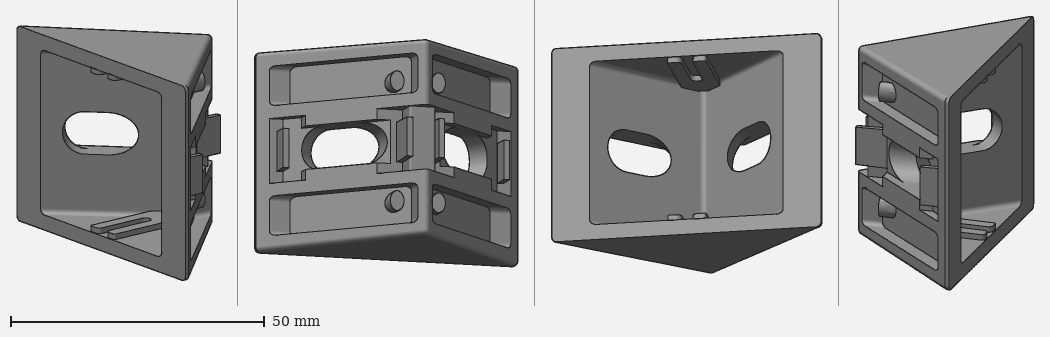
import cadquery as cq
import math

length = 54.0
height = 27.45
width = 40.0
draft = 0.9
edge_radius = 1.0
root_two = math.sqrt(2)
apex = height + edge_radius * (root_two - 1)
lip = apex - length / 2

wall = 6.0
cavity_apex = apex - wall * root_two
cavity_half_width = 16.9

rib_thickness = 1.15
rib_width = 7.7
rib_half_width = rib_width / 2
rib_front = 0.25
rib_back = 18.35
rib_slot_radius = 1.15
rib_slot_end = 12.15
rib_corner_radius = 0.5

pocket_depth = 3.0
pocket_inner_x = 1.5
pocket_z_low = 9.0
pocket_z_high = 16.95
ledge = 2.95

peg_radius = 2.0
peg_x = 4.25
peg_z = 12.0
peg_top = 21.55

channel_depth = 2.0
channel_width = 8.7
channel_half_width = channel_width / 2
notch_half_width = 6.5
lower_notch_x = 19.15
upper_notch_floor = 19.9
ridge_top = 24.85
ridge_radius = 0.55

hole_radius = channel_half_width
hole_inner_x = 10.0
hole_outer_x = 13.25

tab_thickness = 1.2
tab_half_width = 4.0
upper_tab_x = rib_half_width
upper_tab_top = 26.85
lower_tab_x = 23.35
lower_tab_top = 7.2
ridge_half_width = upper_tab_x - tab_thickness


def prism(points, z_low, z_high):
    """Extrude an XY outline between two Z levels."""
    return cq.Workplane("XY", origin=(0, 0, z_low)).polyline(points).close().extrude(z_high - z_low)


def block(x_low, x_high, y_low, y_high, half_width):
    """Box centred on Z = 0."""
    return (
        cq.Workplane("XY", origin=(0, 0, -half_width))
        .moveTo(x_low, y_low)
        .lineTo(x_high, y_low)
        .lineTo(x_high, y_high)
        .lineTo(x_low, y_high)
        .close()
        .extrude(2 * half_width)
    )


def drafted_slab(half_width, x_low, x_high, y_low, y_high):
    """Slab whose two Z faces lean inward toward +Y by the draft angle."""
    top_half_width = half_width - (y_high - y_low) * math.tan(math.radians(draft))
    return (
        cq.Workplane("YZ", origin=(x_low, 0, 0))
        .polyline([
            (y_low, -half_width),
            (y_high, -top_half_width),
            (y_high, top_half_width),
            (y_low, half_width),
        ])
        .close()
        .extrude(x_high - x_low)
    )


def wedge(top, half_width):
    """Right-angled triangular prism with drafted ends, apex at Y = top."""
    outline = [(-top, 0), (top, 0), (0, top)]
    return prism(outline, -half_width, half_width).intersect(drafted_slab(half_width, -top, top, 0, top))


def edge_zone(y_low, x_reach, z_reach):
    """Selector for edges whose centres lie at or beyond y_low and within the X and Z reach."""
    return cq.selectors.BoxSelector((-x_reach, y_low, -z_reach), (x_reach, 2 * apex, z_reach))


def shell():
    """Hollow wedge with rounded outer and inner edges, open at the base."""
    off_base = edge_zone(lip / 4, length, width)
    rim_top = cq.selectors.BoxSelector((-length, lip * 0.9, -width / 4), (length, lip * 1.1, width / 4))
    ends = block(-length / 2, length / 2, 0, apex, width / 2)
    body = wedge(apex, width / 2).intersect(ends)
    body = body.edges(off_base - rim_top).fillet(edge_radius)
    cavity = wedge(cavity_apex, cavity_half_width).edges(off_base).fillet(edge_radius)
    return body.cut(cavity)


def ribs():
    """Slotted forks lying on both cavity end faces, with rounded prong tips."""
    fork = block(-rib_half_width, rib_half_width, rib_front, rib_back, width / 2)
    slot_center = rib_slot_end - rib_slot_radius
    slot = block(-rib_slot_radius, rib_slot_radius, 0, slot_center, width / 2)
    slot_end = (
        cq.Workplane("XY", origin=(0, slot_center, -width / 2))
        .circle(rib_slot_radius)
        .extrude(width)
    )
    fork = fork.cut(slot).cut(slot_end)
    slot_mouth = edge_zone(0, rib_half_width / 2, width)
    fork = fork.faces("<Y").edges("|Z").edges(slot_mouth).fillet(edge_radius)
    fork = fork.faces("<X or >X").edges("<Y").fillet(rib_corner_radius)
    outside = drafted_slab(cavity_half_width + rib_thickness, -length, length, 0, apex)
    inside = drafted_slab(cavity_half_width - rib_thickness, -length, length, 0, apex)
    return fork.intersect(outside.cut(inside))


def recess_outline(floor_apex, inner_x):
    """Recess in the +X wall: inner face along Y, 45 degree floor, flat ledge near the base."""
    return [
        (inner_x, floor_apex - inner_x),
        (inner_x, apex),
        (length / 2, apex),
        (length / 2, ledge),
        (floor_apex - ledge, ledge),
    ]


def pocket():
    """Pocket above the channel on the +X wall, with its peg left standing."""
    floor = apex - pocket_depth * root_two
    cutter = prism(recess_outline(floor, pocket_inner_x), pocket_z_low, pocket_z_high)
    cutter = cutter.faces("<X").edges("|Y").fillet(edge_radius)
    cutter = cutter.faces("<Y").edges("|X").fillet(edge_radius)
    peg = (
        cq.Workplane("XZ", origin=(peg_x, 0, peg_z))
        .ellipse(peg_radius / root_two, peg_radius)
        .extrude(-peg_top)
    )
    return cutter.cut(peg)


def channel():
    """Channel along the +X wall and the wider notch at its base end."""
    floor = apex - channel_depth * root_two
    upper_x = floor - upper_notch_floor
    lower_notch = prism(recess_outline(floor, lower_notch_x), -notch_half_width, notch_half_width)
    middle = prism(
        [
            (upper_x, upper_notch_floor),
            (upper_x, apex),
            (lower_notch_x, apex),
            (lower_notch_x, floor - lower_notch_x),
        ],
        -channel_half_width,
        channel_half_width,
    )
    return lower_notch.union(middle)


def bolt_hole():
    """Slot whose apex-side end runs along Y and whose base-side end is square to the +X wall."""
    straight = (
        cq.Workplane("XZ", origin=(hole_inner_x, 0, 0))
        .circle(hole_radius)
        .extrude(-apex)
    )
    inner_y = cavity_apex - hole_outer_x
    reach = 2 * wall
    step = reach / root_two
    square_plane = cq.Plane((hole_outer_x, inner_y, 0), xDir=(0, 0, 1), normal=(1, 1, 0))
    square = cq.Workplane(square_plane).circle(hole_radius).extrude(reach, both=True)
    between = prism(
        [
            (hole_inner_x, 0),
            (hole_outer_x - step, inner_y - step),
            (hole_outer_x + step, inner_y + step),
            (hole_inner_x, apex),
        ],
        -hole_radius,
        hole_radius,
    )
    return straight.union(square).union(between)


def upper_notch():
    """Notch across the apex, leaving a lowered ridge with rounded edges."""
    space = block(-length / 2, length / 2, upper_notch_floor, apex, notch_half_width)
    ridge = block(-ridge_half_width, ridge_half_width, 0, ridge_top, notch_half_width)
    ridge = ridge.faces(">Y").edges("|Z").fillet(ridge_radius)
    return space.cut(ridge)


def tabs():
    """Tabs pointing along +Y on the +X half, one per notch."""
    upper = drafted_slab(
        tab_half_width, ridge_half_width, upper_tab_x, upper_notch_floor, upper_tab_top
    )
    lower = drafted_slab(
        tab_half_width, lower_tab_x - tab_thickness, lower_tab_x, ledge, lower_tab_top
    )
    return upper.union(lower)


def both_walls(feature):
    """Feature together with its mirror image on the -X wall."""
    return feature.union(feature.mirror("YZ"))


pockets = both_walls(pocket())
lower_pockets = pockets.mirror("XY")

result = (
    shell()
    .union(ribs())
    .cut(pockets)
    .cut(lower_pockets)
    .cut(upper_notch())
    .cut(both_walls(channel()))
    .cut(both_walls(bolt_hole()))
    .union(both_walls(tabs()))
)